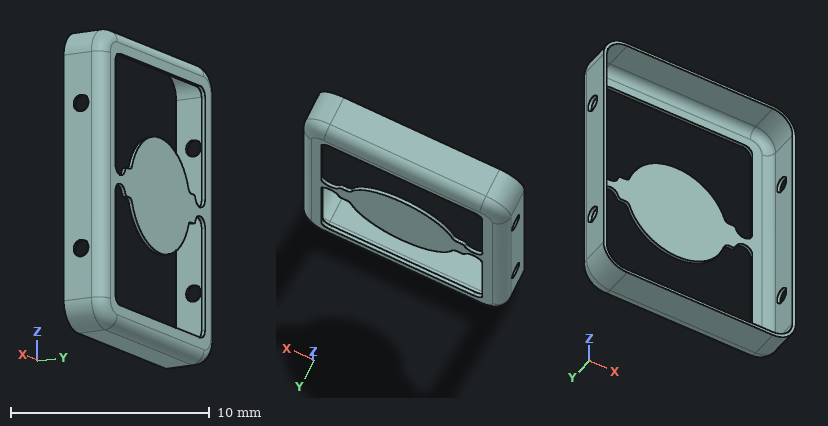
import cadquery as cq
import math

width = 11.5
depth = 2.3
height = 15.5
wall = 0.2
corner_radius = 1.4
rim_radius = 0.7

window_width = 9.0
window_height = 13.0
window_corner_radius = 0.5

disc_radius = 2.99
tab_half_height = 0.75
notch_radius = 0.5
neck_height = 0.46
tab_corner_radius = 0.19
disc_blend_radius = 0.3

hole_diameter = 0.85
hole_spacing = 7.5
hole_from_front = 1.0

front_y = -depth / 2
back_y = depth / 2
floor_y = back_y - wall


def rounded_block(size_x, size_z, radius, y_start, y_end):
    """Block along Y with its four Y edges rounded."""
    return (
        cq.Workplane("XZ", origin=(0, y_start, 0))
        .rect(size_x, size_z)
        .extrude(y_start - y_end)
        .edges("|Y")
        .fillet(radius)
    )


def make_tray():
    outer = rounded_block(width, height, corner_radius, front_y, back_y)
    outer = outer.faces(">Y").edges().fillet(rim_radius)
    cavity = rounded_block(
        width - 2 * wall, height - 2 * wall, corner_radius - wall, front_y, floor_y
    )
    cavity = cavity.faces(">Y").edges().fillet(rim_radius - wall)
    return outer.cut(cavity)


def on_circle(center, radius, toward):
    """Point of a circle in the direction of another point."""
    dx = toward[0] - center[0]
    dz = toward[1] - center[1]
    scale = radius / math.hypot(dx, dz)
    return (center[0] + dx * scale, center[1] + dz * scale)


def make_upper_opening():
    """Window half above the disc: its lower edge follows notches, tabs and disc."""
    side = window_width / 2
    top = window_height / 2
    r = window_corner_radius
    diagonal = r * (1 - math.sqrt(0.5))

    notch = (side - notch_radius, neck_height / 2 + notch_radius)
    tab_z = tab_half_height - tab_corner_radius
    tab_reach = math.sqrt((notch_radius + tab_corner_radius) ** 2 - (notch[1] - tab_z) ** 2)
    tab = (notch[0] - tab_reach, tab_z)
    blend_z = tab_half_height + disc_blend_radius
    blend = (math.sqrt((disc_radius + disc_blend_radius) ** 2 - blend_z**2), blend_z)

    notch_start = (side, notch[1])
    notch_middle = (notch[0], notch[1] - notch_radius)
    notch_end = on_circle(notch, notch_radius, tab)
    tab_end = (tab[0], tab_half_height)
    tab_chord_middle = ((notch_end[0] + tab_end[0]) / 2, (notch_end[1] + tab_end[1]) / 2)
    tab_middle = on_circle(tab, tab_corner_radius, tab_chord_middle)
    blend_start = (blend[0], tab_half_height)
    blend_end = on_circle(blend, disc_blend_radius, (0, 0))
    blend_chord_middle = ((blend_start[0] + blend_end[0]) / 2, (blend_start[1] + blend_end[1]) / 2)
    blend_middle = on_circle(blend, disc_blend_radius, blend_chord_middle)

    def mirror(point):
        return (-point[0], point[1])

    outline = (
        cq.Workplane("XZ", origin=(0, back_y, 0))
        .moveTo(-side + r, top)
        .lineTo(side - r, top)
        .threePointArc((side - diagonal, top - diagonal), (side, top - r))
        .lineTo(*notch_start)
        .threePointArc(notch_middle, notch_end)
        .threePointArc(tab_middle, tab_end)
        .lineTo(*blend_start)
        .threePointArc(blend_middle, blend_end)
        .threePointArc((0, disc_radius), mirror(blend_end))
        .threePointArc(mirror(blend_middle), mirror(blend_start))
        .lineTo(*mirror(tab_end))
        .threePointArc(mirror(tab_middle), mirror(notch_end))
        .threePointArc(mirror(notch_middle), mirror(notch_start))
        .lineTo(-side, top - r)
        .threePointArc((-side + diagonal, top - diagonal), (-side + r, top))
        .close()
    )
    return outline.extrude(depth)


def make_cross_holes():
    return (
        cq.Workplane("YZ")
        .pushPoints([(front_y + hole_from_front, sign * hole_spacing / 2) for sign in (-1, 1)])
        .circle(hole_diameter / 2)
        .extrude(width, both=True)
    )


upper_opening = make_upper_opening()
lower_opening = upper_opening.mirror("XY")
result = make_tray().cut(upper_opening).cut(lower_opening).cut(make_cross_holes())